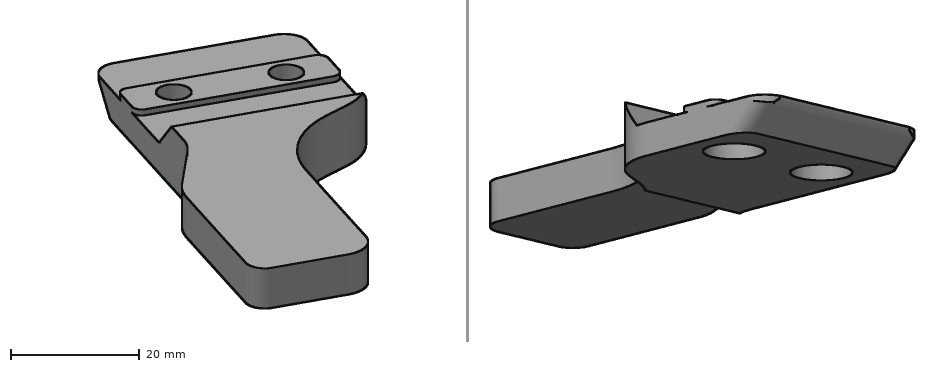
import cadquery as cq
import math

length = 86.4
width = 42.0
height = 10.5

plate_front = 7.1
plate_thickness = 5.35
plate_corner_radius = 4.0
handle_back = 20.9
handle_bottom = 3.5
handle_back_radius = 9.8 / 2
handle_front_radius = 3.2

shoulder_start = 26.4
shoulder_radius = 12.1
neck_radius = 18.6
back_edge_angle = math.radians(63)

front_bend_start = 39.4
front_plate_radius = 8.3
front_handle_radius = 10.0
front_edge_angle = math.radians(26)

top_ramp_start = 28.85
top_ramp_end = 34.1
bottom_ramp_start = 42.15
bottom_ramp_end = 45.4

bevel_length = 4.6
bevel_height = 4.4
bevel_side_radius = 3.0

strip_center = 15.0
strip_width = 8.0
strip_height = 1.0
strip_corner_radius = 3.4 / 2
hole_diameter = 5.5
hole_spacing = 18.9
counterbore_diameter = 9.8
counterbore_depth = 3.4

plate_width = width - plate_front
plate_middle = plate_front + plate_width / 2


def bend(start, start_angle, end_angle, radius):
    """Middle and end points of an arc between two headings; a falling heading is negative."""
    turn = math.copysign(1, end_angle - start_angle)

    def point(angle):
        return (
            start[0] + turn * radius * (math.sin(angle) - math.sin(start_angle)),
            start[1] - turn * radius * (math.cos(angle) - math.cos(start_angle)),
        )

    return point((start_angle + end_angle) / 2), point(end_angle)


def make_outline():
    """Full-height plan shape with rounded corners."""
    shoulder = (shoulder_start, width)
    shoulder_middle, shoulder_end = bend(shoulder, 0, -back_edge_angle, shoulder_radius)

    neck_drop = neck_radius * (1 - math.cos(back_edge_angle))
    straight_drop = shoulder_end[1] - handle_back - neck_drop
    neck = (shoulder_end[0] + straight_drop / math.tan(back_edge_angle), handle_back + neck_drop)
    neck_middle, neck_end = bend(neck, -back_edge_angle, 0, neck_radius)

    front_bend = (front_bend_start, plate_front)
    front_middle, front_end = bend(front_bend, 0, -front_edge_angle, front_plate_radius)
    last_drop = front_handle_radius * (1 - math.cos(front_edge_angle))
    slope_run = (front_end[1] - last_drop) / math.tan(front_edge_angle)
    last_bend = (front_end[0] + slope_run, last_drop)
    last_middle, last_end = bend(last_bend, -front_edge_angle, 0, front_handle_radius)

    body = (
        cq.Workplane("XY")
        .moveTo(0, width)
        .lineTo(*shoulder)
        .threePointArc(shoulder_middle, shoulder_end)
        .lineTo(*neck)
        .threePointArc(neck_middle, neck_end)
        .lineTo(length, handle_back)
        .lineTo(length, 0)
        .lineTo(*last_end)
        .threePointArc(last_middle, last_bend)
        .lineTo(*front_end)
        .threePointArc(front_middle, front_bend)
        .lineTo(0, plate_front)
        .close()
        .extrude(height)
    )
    body = body.edges("|Z and <X").fillet(plate_corner_radius)
    body = body.faces(">X").edges("|Z").edges(">Y").fillet(handle_back_radius)
    return body.faces(">X").edges("|Z").edges("<Y").fillet(handle_front_radius)


def make_side_profile():
    """Stepped side profile with a rounded bevel nose, swept across the full width."""
    bevel_angle = math.atan2(bevel_length, bevel_height)
    nose_height = plate_thickness - bevel_height
    nose_radius = nose_height / math.tan(bevel_angle / 2)

    def nose_point(angle):
        return nose_radius * (1 - math.cos(angle)), plate_thickness - nose_radius * math.sin(angle)

    return (
        cq.Workplane("XZ")
        .moveTo(bevel_length, 0)
        .lineTo(bottom_ramp_start, 0)
        .lineTo(bottom_ramp_end, handle_bottom)
        .lineTo(length, handle_bottom)
        .lineTo(length, height)
        .lineTo(top_ramp_end, height)
        .lineTo(top_ramp_start, plate_thickness)
        .lineTo(0, plate_thickness)
        .threePointArc(nose_point(bevel_angle / 2), nose_point(bevel_angle))
        .close()
        .extrude(-width)
    )


def make_bevel_envelope():
    """Slanted block, rounded along its two slanted side edges."""
    overhang = (height - bevel_height) * bevel_length / bevel_height
    block = (
        cq.Workplane("XZ", origin=(0, plate_front, 0))
        .polyline([
            (bevel_length, 0),
            (top_ramp_start, 0),
            (top_ramp_start, height),
            (-overhang, height),
        ])
        .close()
        .extrude(-plate_width)
    )
    block = block.faces("<X").edges("not |Y").fillet(bevel_side_radius)
    beyond = (
        cq.Workplane("XY", origin=(top_ramp_start, 0, 0))
        .box(length, width, height, centered=False)
    )
    return block.union(beyond)


def make_strip():
    """Raised strip with rounded corners on top of the plate."""
    return (
        cq.Workplane("XY", origin=(strip_center, plate_middle, plate_thickness))
        .rect(strip_width, plate_width)
        .extrude(strip_height)
        .edges("|Z")
        .fillet(strip_corner_radius)
    )


body = make_outline().intersect(make_side_profile()).intersect(make_bevel_envelope())
body = body.union(make_strip())

result = (
    body.faces("<Z")
    .workplane(origin=(strip_center, plate_middle, 0))
    .pushPoints([(0, -hole_spacing / 2), (0, hole_spacing / 2)])
    .cboreHole(hole_diameter, counterbore_diameter, counterbore_depth)
)